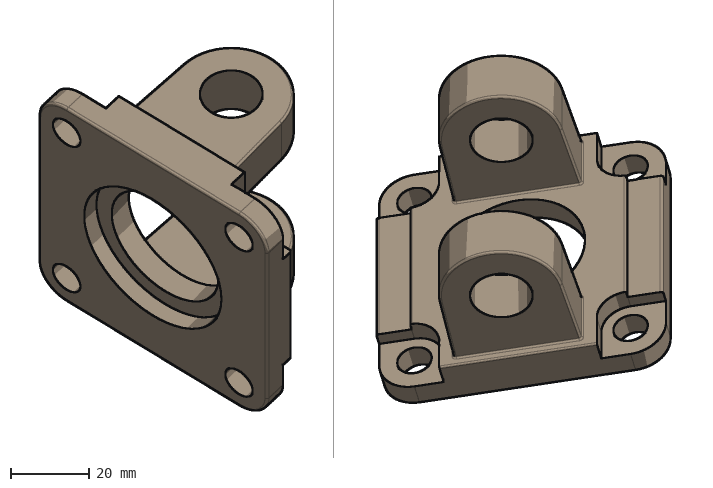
import cadquery as cq
import math

plate_size = 75.0
plate_corner_radius = 9.25
side_ledge_height = 10.0
pad_height = 12.0
front_edge_fillet = 0.75
ledge_edge_fillet = 0.75
pad_edge_fillet = 0.5

hole_offset = plate_size / 2 - plate_corner_radius
hole_diameter = 9.0
relief_radius = 7.65
relief_floor = 6.5

pad_width = 2 * hole_offset

bore_diameter = 35.0
counterbore_diameter = 45.0
counterbore_depth = 5.0

lug_gap = 40.0
lug_thickness = 15.0
lug_radius = 16.0
lug_eye_y = 32.0
lug_eye_diameter = 16.0
lug_side_draft = math.radians(2.0)
lug_edge_fillet = 0.65
lug_root_fillet = 0.5

tangent_x = lug_radius * math.cos(lug_side_draft)
tangent_y = lug_eye_y + lug_radius * math.sin(lug_side_draft)
root_half_width = tangent_x + (tangent_y - pad_height) * math.tan(lug_side_draft)

selection_margin = 0.01


def cylinder_along_y(diameter, start, end, x=0.0, z=0.0):
    """Cylinder between two Y levels; the XZ workplane normal points along -Y."""
    base = cq.Workplane("XZ", origin=(x, start, z))
    return base.circle(diameter / 2).extrude(start - end)


def slab(width, start, end):
    """Full-height block, centred in X and Z, between two Y levels."""
    return cq.Workplane("XY").box(width, end - start, plate_size).translate((0, (start + end) / 2, 0))


def make_plate():
    """Flange with lower ledges on both X sides, trimmed to the rounded outline."""
    base = slab(plate_size, 0, side_ledge_height)
    base = base.edges("|Z and >Y").fillet(ledge_edge_fillet)
    pad = slab(pad_width, 0, pad_height)
    pad = pad.faces(">Y").edges().fillet(pad_edge_fillet)
    outline = slab(plate_size, 0, pad_height)
    outline = outline.edges("|Y").fillet(plate_corner_radius)
    outline = outline.faces("<Y").edges().fillet(front_edge_fillet)
    plate = base.union(pad)
    return plate.intersect(outline)


def corner_relief(sign_x, sign_z):
    """Square corner cut whose inner corner is an arc around the mounting hole."""
    inner = hole_offset - relief_radius
    side = plate_size / 2 - inner
    centre = inner + side / 2
    depth = pad_height - relief_floor
    block = cq.Workplane("XY").box(side, depth, side)
    inner_edge_x = "<X" if sign_x > 0 else ">X"
    inner_edge_z = "<Z" if sign_z > 0 else ">Z"
    block = block.faces(inner_edge_x).edges(inner_edge_z).fillet(relief_radius)
    return block.translate((sign_x * centre, relief_floor + depth / 2, sign_z * centre))


def make_lug(bottom_z):
    """Lug with a round end and sides that widen toward the plate."""
    lug = (
        cq.Workplane("XY", origin=(0, 0, bottom_z))
        .moveTo(-root_half_width, pad_height)
        .lineTo(-tangent_x, tangent_y)
        .threePointArc((0, lug_eye_y + lug_radius), (tangent_x, tangent_y))
        .lineTo(root_half_width, pad_height)
        .close()
        .extrude(lug_thickness)
    )
    return lug.faces("|Z").edges("not <Y").fillet(lug_edge_fillet)


def make_eye():
    """Pin hole through both lugs."""
    base = cq.Workplane("XY", origin=(0, lug_eye_y, 0))
    return base.circle(lug_eye_diameter / 2).extrude(plate_size / 2, both=True)


def round_lug_root(body, bottom_z):
    """Fillet the corner where one lug stands on the pad top."""
    reach_x = root_half_width + selection_margin
    low_corner = (-reach_x, pad_height - selection_margin, bottom_z - selection_margin)
    high_corner = (reach_x, pad_height + selection_margin, bottom_z + lug_thickness + selection_margin)
    root_edges = cq.selectors.BoxSelector(low_corner, high_corner, boundingbox=True)
    return body.edges(root_edges).fillet(lug_root_fillet)


result = make_plate()
for sign_x in (-1, 1):
    for sign_z in (-1, 1):
        result = result.cut(corner_relief(sign_x, sign_z))
        hole = cylinder_along_y(hole_diameter, 0, pad_height, sign_x * hole_offset, sign_z * hole_offset)
        result = result.cut(hole)

for lug_bottom_z in (lug_gap / 2, -lug_gap / 2 - lug_thickness):
    result = result.union(make_lug(lug_bottom_z))
    result = round_lug_root(result, lug_bottom_z)

result = result.cut(cylinder_along_y(bore_diameter, 0, pad_height))
result = result.cut(cylinder_along_y(counterbore_diameter, 0, counterbore_depth))
result = result.cut(make_eye())